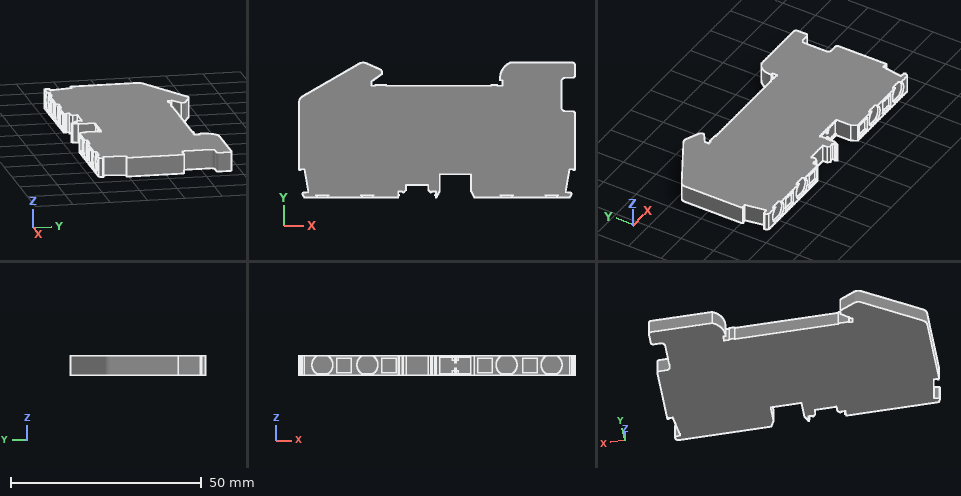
import cadquery as cq
import math

LENGTH = 72.4
HEIGHT = 35.4
THICKNESS = 5.15
CENTER_X = LENGTH / 2

SHOULDER_Y = 26.0
SHOULDER_ANGLE = 30.0
SHOULDER_RADIUS = 1.8
PEAK_RADIUS = 2.0
HOOK_ANGLE = 24.0
HOOK_TIP_X = 21.8
HOOK_TIP_BOTTOM_Y = 32.35
HOOK_TIP_RADIUS = 0.9
HOOK_ROOT_X = 19.05
HOOK_ROOT_Y = 30.4

DECK_Y = 29.3
PAD_RISE = 0.2
PAD_SPANS = ((20.05, 22.9), (50.45, 52.0))

TOWER_ROOT_X = 53.35
TOWER_LIP_X = 52.7
TOWER_LIP_Y = 30.7
TOWER_ARC_MID = (53.7, 34.1)
TOWER_TOP_X = 55.45
TOWER_CORNER_RADIUS = 0.7

GRIP_BOTTOM_Y = 22.65
GRIP_TOP_Y = 31.35
GRIP_DEPTH = 3.55
GRIP_INNER_RADIUS = 0.95
GRIP_OUTER_RADIUS = 0.65

END_LIP_TAPER_Y = 7.5
END_LIP_TAPER = 0.1
END_LIP_WIDTH = 0.4
END_LIP_Y = 7.2
UNDERCUT_TOP_Y = 7.4
UNDERCUT_TOP_X = 1.45
UNDERCUT_ROOT_X = 2.4
UNDERCUT_TAPER_END_Y = 1.9
UNDERCUT_ROOT_Y = 1.45
TOE_TOP = (1.1, 1.3)
TOE_TIP = (0.9, 0.95)
TOE_HEEL = (1.1, 0.4)
TOE_BOTTOM_X = 1.45

LATCH_CENTER_X = 31.0
LATCH_HALF_WIDTH = 2.9
LATCH_TOP_Y = 3.25
LATCH_CHAMFER_Y = 1.95
LATCH_NOSE = (3.6, 1.2)
LATCH_GROOVE_INNER_X = 3.9
LATCH_GROOVE_OUTER_X = 4.9
LATCH_GROOVE_Y = 1.5
LATCH_BARB_TOP_Y = 0.8
LATCH_BARB = (4.6, 0.65)
LATCH_BARB_BOTTOM_Y = 0.35

NOTCH_LEFT_X = 36.9
NOTCH_RIGHT_X = 45.1
NOTCH_TOP_Y = 6.1
NOTCH_FLARE_Y = 1.7
NOTCH_FLARE = 0.9

WALL = 0.4
NOTCH_POCKET_DEPTH = 0.3
STUD_BASE_WIDTH = 1.6
STUD_TIP_WIDTH = 0.4
STUD_REACH = 0.8
STUD_RAMP = 0.65
STUD_RAMP_END = 0.15

WINDOW_DEPTH = 0.65
WINDOW_PITCH = 11.8
ROUND_FIRST_X = 6.15
ROUND_RADIUS = 2.75
ROUND_CENTER_Z = 2.75
SQUARE_OFFSET = 5.65
SQUARE_SIZE = 3.85


def plate(points):
    """Prism through the whole thickness over a closed polygon."""
    return cq.Workplane("XY").polyline(points).close().extrude(THICKNESS)


def box(x_min, x_max, y_min, y_max, z_min, z_max):
    """Box between opposite corners."""
    size = (x_max - x_min, y_max - y_min, z_max - z_min)
    return cq.Workplane("XY").box(*size, centered=False).translate((x_min, y_min, z_min))


def round_corner(solid, x, y, radius):
    """Fillet the edge through the thickness that stands nearest to (x, y)."""
    edge = cq.NearestToPointSelector((x, y, THICKNESS / 2))
    return solid.edges("|Z").edges(edge).fillet(radius)


def mirrored(solid):
    """Copy on the other end of the plate."""
    return solid.mirror("YZ", (CENTER_X, 0, 0))


def make_body():
    """Plate with shoulder, hook, deck and tower."""
    shoulder_slope = math.tan(math.radians(SHOULDER_ANGLE))
    hook_slope = math.tan(math.radians(HOOK_ANGLE))
    shoulder_secant = 1 / math.cos(math.radians(SHOULDER_ANGLE))
    crest_x = (HEIGHT - PEAK_RADIUS + PEAK_RADIUS * shoulder_secant - SHOULDER_Y) / shoulder_slope
    crest_gap = PEAK_RADIUS * (shoulder_secant - 1 / math.cos(math.radians(HOOK_ANGLE)))
    apex_x = crest_x - crest_gap / (shoulder_slope + hook_slope)
    apex_y = SHOULDER_Y + apex_x * shoulder_slope
    hook_tip_y = apex_y - (HOOK_TIP_X - apex_x) * hook_slope
    solid = (
        cq.Workplane("XY")
        .polyline([
            (TOWER_TOP_X, HEIGHT),
            (LENGTH, HEIGHT),
            (LENGTH, 0),
            (0, 0),
            (0, SHOULDER_Y),
            (apex_x, apex_y),
            (HOOK_TIP_X, hook_tip_y),
            (HOOK_TIP_X, HOOK_TIP_BOTTOM_Y),
            (HOOK_ROOT_X, HOOK_ROOT_Y),
            (HOOK_ROOT_X, DECK_Y),
            (TOWER_ROOT_X, DECK_Y),
            (TOWER_ROOT_X, TOWER_LIP_Y),
            (TOWER_LIP_X, TOWER_LIP_Y),
        ])
        .threePointArc(TOWER_ARC_MID, (TOWER_TOP_X, HEIGHT))
        .close()
        .extrude(THICKNESS)
    )
    solid = round_corner(solid, 0, SHOULDER_Y, SHOULDER_RADIUS)
    solid = round_corner(solid, apex_x, apex_y, PEAK_RADIUS)
    solid = round_corner(solid, HOOK_TIP_X, hook_tip_y, HOOK_TIP_RADIUS)
    solid = round_corner(solid, LENGTH, HEIGHT, TOWER_CORNER_RADIUS)
    for start, end in PAD_SPANS:
        solid = solid.union(box(start, end, DECK_Y - PAD_RISE, DECK_Y + PAD_RISE, 0, THICKNESS))
    return solid


def cut_grip(solid):
    """Rounded finger recess in the right end."""
    inner_x = LENGTH - GRIP_DEPTH
    solid = solid.cut(box(inner_x, LENGTH, GRIP_BOTTOM_Y, GRIP_TOP_Y, 0, THICKNESS))
    for y in (GRIP_BOTTOM_Y, GRIP_TOP_Y):
        solid = round_corner(solid, inner_x, y, GRIP_INNER_RADIUS)
        solid = round_corner(solid, LENGTH, y, GRIP_OUTER_RADIUS)
    return solid


def end_undercut():
    """Material removed around the foot at the left end."""
    return plate([
        (0, 0),
        (0, END_LIP_TAPER_Y),
        (END_LIP_TAPER, END_LIP_Y),
        (END_LIP_WIDTH, END_LIP_Y),
        (END_LIP_WIDTH, UNDERCUT_TOP_Y),
        (UNDERCUT_TOP_X, UNDERCUT_TOP_Y),
        (UNDERCUT_ROOT_X, UNDERCUT_TAPER_END_Y),
        (UNDERCUT_ROOT_X, UNDERCUT_ROOT_Y),
        TOE_TOP,
        TOE_TIP,
        TOE_HEEL,
        (TOE_BOTTOM_X, 0),
    ])


def latch_recess():
    """Stepped recess with a groove and a barb on both sides."""
    half = [
        (LATCH_HALF_WIDTH, LATCH_TOP_Y),
        (LATCH_HALF_WIDTH, LATCH_CHAMFER_Y),
        LATCH_NOSE,
        (LATCH_GROOVE_INNER_X, LATCH_GROOVE_Y),
        (LATCH_GROOVE_OUTER_X, LATCH_GROOVE_Y),
        (LATCH_GROOVE_OUTER_X, LATCH_BARB_TOP_Y),
        LATCH_BARB,
        (LATCH_GROOVE_OUTER_X, LATCH_BARB_BOTTOM_Y),
        (LATCH_GROOVE_OUTER_X, 0),
    ]
    right = [(LATCH_CENTER_X + x, y) for x, y in half]
    left = [(LATCH_CENTER_X - x, y) for x, y in reversed(half)]
    return plate(right + left)


def notch():
    """Square notch with flared mouth and a shallow pocket in its ceiling."""
    opening = plate([
        (NOTCH_LEFT_X - NOTCH_FLARE, 0),
        (NOTCH_LEFT_X, NOTCH_FLARE_Y),
        (NOTCH_LEFT_X, NOTCH_TOP_Y),
        (NOTCH_RIGHT_X, NOTCH_TOP_Y),
        (NOTCH_RIGHT_X, NOTCH_FLARE_Y),
        (NOTCH_RIGHT_X + NOTCH_FLARE, 0),
    ])
    floor_y = NOTCH_TOP_Y + NOTCH_POCKET_DEPTH
    pocket = box(NOTCH_LEFT_X, NOTCH_RIGHT_X, NOTCH_TOP_Y, floor_y, WALL, THICKNESS - WALL)
    return opening.union(pocket)


def stud():
    """Tapered stud on the lower wall of the notch pocket, ending in a blunt ramp."""
    center_x = (NOTCH_LEFT_X + NOTCH_RIGHT_X) / 2
    floor_y = NOTCH_TOP_Y + NOTCH_POCKET_DEPTH
    block_top = WALL + STUD_REACH
    block = (
        cq.Workplane("XY")
        .polyline([
            (center_x - STUD_BASE_WIDTH / 2, floor_y),
            (center_x - STUD_TIP_WIDTH / 2, NOTCH_TOP_Y),
            (center_x + STUD_TIP_WIDTH / 2, NOTCH_TOP_Y),
            (center_x + STUD_BASE_WIDTH / 2, floor_y),
        ])
        .close()
        .extrude(block_top)
    )
    ramp = (
        cq.Workplane("YZ", origin=(center_x - STUD_TIP_WIDTH / 2, 0, 0))
        .polyline([
            (floor_y, 0),
            (NOTCH_TOP_Y, 0),
            (NOTCH_TOP_Y, block_top),
            (floor_y - STUD_RAMP_END, block_top + STUD_RAMP),
            (floor_y, block_top + STUD_RAMP),
        ])
        .close()
        .extrude(STUD_TIP_WIDTH)
    )
    return block.union(ramp)


def windows():
    """Round and square windows of the left half of the bottom edge."""
    cutters = cq.Workplane("XY")
    for index in range(2):
        x = ROUND_FIRST_X + index * WINDOW_PITCH
        disc = (
            cq.Workplane("XZ", origin=(x, 0, ROUND_CENTER_Z))
            .circle(ROUND_RADIUS)
            .extrude(-WINDOW_DEPTH)
        )
        above_floor = box(x - ROUND_RADIUS, x + ROUND_RADIUS, 0, WINDOW_DEPTH, WALL, THICKNESS)
        square = (
            cq.Workplane("XZ", origin=(x + SQUARE_OFFSET, 0, THICKNESS / 2))
            .rect(SQUARE_SIZE, SQUARE_SIZE)
            .extrude(-WINDOW_DEPTH)
        )
        cutters = cutters.add(disc.intersect(above_floor)).add(square)
    return cutters.combine()


result = cut_grip(make_body())
for cutter in (end_undercut(), windows()):
    result = result.cut(cutter).cut(mirrored(cutter))
result = result.cut(latch_recess()).cut(notch())
lower_stud = stud()
upper_stud = lower_stud.mirror("XY", (0, 0, THICKNESS / 2))
result = result.union(lower_stud).union(upper_stud)